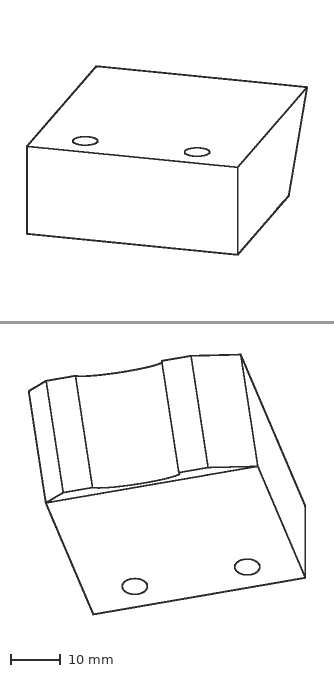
import cadquery as cq
import math

width = 44.05
height = 18.65
top_length = 49.5
hole_diameter = 5.0
hole_spacing = 23.35
hole_front_distance = 6.35

tilt_angle = 35.0
tip_length = 15.0
tip_end_width = 30.1
notch_radius = 8.95

tilt = math.radians(tilt_angle)
bottom_length = top_length - height * math.tan(tilt)
mitre_height = height / math.cos(tilt)


def make_block():
    """Block with a mitred back face and two vertical through holes near its front."""
    block = (
        cq.Workplane("YZ")
        .polyline([(0, 0), (bottom_length, 0), (top_length, height), (0, height)])
        .close()
        .extrude(width / 2, both=True)
    )
    holes = (
        cq.Workplane("XY")
        .pushPoints([(side * hole_spacing / 2, hole_front_distance) for side in (-1, 1)])
        .circle(hole_diameter / 2)
        .extrude(height)
    )
    return block.cut(holes)


def make_tip():
    """Tapered tip standing square on the mitre face, with a half-round notch in its end."""
    tip_plane = cq.Plane(
        origin=(0, top_length, height),
        xDir=(-1, 0, 0),
        normal=(0, -math.sin(tilt), -math.cos(tilt)),
    )
    return (
        cq.Workplane(tip_plane)
        .moveTo(-width / 2, 0)
        .lineTo(width / 2, 0)
        .lineTo(tip_end_width / 2, tip_length)
        .lineTo(notch_radius, tip_length)
        .threePointArc((0, tip_length - notch_radius), (-notch_radius, tip_length))
        .lineTo(-tip_end_width / 2, tip_length)
        .close()
        .extrude(mitre_height)
    )


block = make_block()
tip = make_tip()

result = cq.Compound.makeCompound([block.solids().val(), tip.val()])